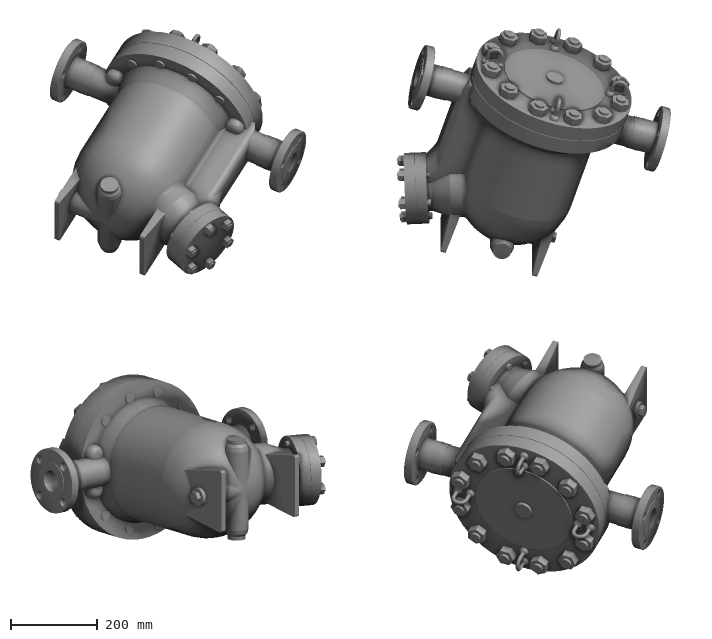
import cadquery as cq
import math


OVERALL_LENGTH_Y = 526.45

BODY_RADIUS = 136.0
NECK_RADIUS = 148.0
NECK_END_Y = -28.7
DOME_CENTRE_Y = -219.0
FLANGE_RADIUS = 375.0 / 2
FLANGE_BACK_Y = 10.2
JOINT_BOTTOM_Y = 45.7
JOINT_TOP_Y = 47.0
JOINT_GROOVE_DEPTH = 4.0
COVER_TOP_Y = 82.3
COVER_PAD_RADIUS = 120.0
COVER_PAD_HEIGHT = 3.0
CENTRE_BOSS_RADIUS = 40.0 / 2
CENTRE_BOSS_HEIGHT = 6.5

STUD_COUNT = 12
STUD_CIRCLE_RADIUS = 160.5
STUD_DIAMETER = 24.0
STUD_TAIL = 4.0
STUD_TOP_Y = 107.0
NUT_ACROSS_FLATS = 38.0
NUT_HEIGHT = 18.5
NUT_CORNER_OFFSET = math.radians(15)
STUD_BOSS_RADIUS = 22.0
STUD_BOSS_END_Y = -14.5
STUD_BOSS_ROUND = 15.0

EYE_POSITION_RADIUS = 150.0
EYE_OUTER_DIAMETER = 40.0
EYE_WIRE_DIAMETER = 9.0
EYE_TOP_Y = 127.25
EYE_WELD_RADIUS = 11.0

INLET_FACE_X = -285.5
OUTLET_FACE_X = 305.5
PIPE_RADIUS = 36.0
PIPE_COLLAR_RADIUS = 75.0 / 2
PIPE_COLLAR_END = 76.5
WELD_BEAD_START = 50.5
WELD_BEAD_END = 58.5
WELD_BEAD_RADIUS = 38.0
PIPE_FLANGE_RADIUS = 152.0 / 2
PIPE_FLANGE_BACK = 21.0
PIPE_ROOT_RADIUS = 3.0
PIPE_FLANGE_CHAMFER = 1.0
RAISED_FACE_RADIUS = 92.1 / 2
RAISED_FACE_HEIGHT = 1.6
PIPE_BORE_RADIUS = 25.0
PIPE_BORE_DEPTH = 140.0
PIPE_BOLT_COUNT = 4
PIPE_BOLT_CIRCLE_RADIUS = 60.3
PIPE_BOLT_HOLE_DIAMETER = 20.0

PASSAGE_HALF_WIDTH = 39.5
PASSAGE_OUTER_X = 204.5
PASSAGE_EDGE_RADIUS = 16.0
PASSAGE_ROOT_RADIUS = 14.5
PASSAGE_SHOULDER_Y = -5.0
PASSAGE_TOP_Y = 36.0
PASSAGE_TOP_X = 190.5
PASSAGE_TOP_BULGE = 3.0
PASSAGE_BOTTOM_Y = -260.0
FAIRING_TOP_Y = -155.0
FAIRING_HOLLOW = 2.0
FAIRING_EDGE_RADIUS = 30.0

NOZZLE_TILT = 20.0
NOZZLE_FLANGE_BACK = (193.2, -283.0)
NOZZLE_FLANGE_RADIUS = 165.0 / 2
NOZZLE_FLANGE_THICKNESS = 25.0
NOZZLE_JOINT_GAP = 0.6
NOZZLE_COVER_THICKNESS = 25.4
NOZZLE_NECK_RADIUS = 54.5
NOZZLE_NECK_LENGTH = 11.0
NOZZLE_COLLAR_RADIUS = 71.0
NOZZLE_COLLAR_END = 54.0
NOZZLE_DEPTH = 160.0
NOZZLE_ROOT_RADIUS = 12.0
NOZZLE_BOLT_COUNT = 6
NOZZLE_BOLT_CIRCLE_RADIUS = 65.0
NOZZLE_BOLT_DIAMETER = 16.0
NOZZLE_BOLT_TAIL = 8.0
NOZZLE_NUT_FLATS = 24.0
NOZZLE_NUT_HEIGHT = 13.0
NOZZLE_BOLT_TIP = 3.0

DRAIN_RADIUS = 28.0
DRAIN_INSET = 0.1
DRAIN_Y = DOME_CENTRE_Y - BODY_RADIUS + DRAIN_RADIUS + DRAIN_INSET
DRAIN_CAP_RADIUS = 21.0
DRAIN_SHOULDER_RADIUS = 25.5
DRAIN_BARREL_END = 93.5
DRAIN_SHOULDER_END = 103.5
DRAIN_TAPER_END = 109.5
DRAIN_CAP_END = 118.5
PLUG_BOSS_END = 108.0
PLUG_RING_END = 118.5
PLUG_HEAD_END = 128.5
PLUG_HEAD_FLATS = 24.0

LEG_CENTRES_X = (-99.8, 121.0)
LEG_BOTTOM_Y = EYE_TOP_Y - OVERALL_LENGTH_Y
LEG_TOP_Y = -273.0
LEG_BOTTOM_HALF_WIDTH = 74.5
LEG_TOP_HALF_WIDTH = 52.7
LEG_BOTTOM_HALF_THICKNESS = 6.0
LEG_TOP_HALF_THICKNESS = 13.3
LEG_CORNER_RADIUS = 6.0

UP = cq.Vector(0, 1, 0)


def rod(radius, start, end):
    """Cylinder between two points."""
    axis = cq.Vector(*end) - cq.Vector(*start)
    return cq.Workplane(cq.Solid.makeCylinder(radius, axis.Length, cq.Vector(*start), axis))


def hexagon(across_flats, origin, corner_direction, axis, height):
    """Hexagonal prism with one corner along corner_direction."""
    across_corners = across_flats / math.cos(math.pi / 6)
    plane = cq.Plane(origin=origin, xDir=corner_direction, normal=axis)
    return cq.Workplane(plane).polygon(6, across_corners).extrude(height)


def make_body():
    dome_bottom_y = DOME_CENTRE_Y - BODY_RADIUS
    diagonal = BODY_RADIUS * math.sqrt(0.5)
    groove_radius = FLANGE_RADIUS - JOINT_GROOVE_DEPTH
    pad_top_y = COVER_TOP_Y + COVER_PAD_HEIGHT
    return (
        cq.Workplane("XY")
        .moveTo(0, dome_bottom_y)
        .threePointArc((diagonal, DOME_CENTRE_Y - diagonal), (BODY_RADIUS, DOME_CENTRE_Y))
        .lineTo(BODY_RADIUS, NECK_END_Y)
        .lineTo(NECK_RADIUS, FLANGE_BACK_Y)
        .lineTo(FLANGE_RADIUS, FLANGE_BACK_Y)
        .lineTo(FLANGE_RADIUS, JOINT_BOTTOM_Y)
        .lineTo(groove_radius, JOINT_BOTTOM_Y)
        .lineTo(groove_radius, JOINT_TOP_Y)
        .lineTo(FLANGE_RADIUS, JOINT_TOP_Y)
        .lineTo(FLANGE_RADIUS, COVER_TOP_Y)
        .lineTo(COVER_PAD_RADIUS, COVER_TOP_Y)
        .lineTo(COVER_PAD_RADIUS, pad_top_y)
        .lineTo(CENTRE_BOSS_RADIUS, pad_top_y)
        .lineTo(CENTRE_BOSS_RADIUS, pad_top_y + CENTRE_BOSS_HEIGHT)
        .lineTo(0, pad_top_y + CENTRE_BOSS_HEIGHT)
        .close()
        .revolve(360, (0, 0, 0), (0, 1, 0))
    )


def stud_places():
    """X and Z of every cover stud; none lies on the X or Z axis."""
    step = 2 * math.pi / STUD_COUNT
    angles = [(index + 0.5) * step for index in range(STUD_COUNT)]
    return [(STUD_CIRCLE_RADIUS * math.cos(a), STUD_CIRCLE_RADIUS * math.sin(a)) for a in angles]


def make_cover_stud(x, z):
    stud = rod(STUD_DIAMETER / 2, (x, FLANGE_BACK_Y - STUD_TAIL, z), (x, STUD_TOP_Y, z))
    corner_angle = math.atan2(z, x) + NUT_CORNER_OFFSET
    corner = (math.cos(corner_angle), 0, math.sin(corner_angle))
    nut = hexagon(NUT_ACROSS_FLATS, (x, COVER_TOP_Y, z), corner, (0, 1, 0), NUT_HEIGHT)
    return stud.union(nut)


def make_stud_boss(x, z):
    """Round-ended boss that carries a stud where the pipe runs below the flange."""
    boss = rod(STUD_BOSS_RADIUS, (x, FLANGE_BACK_Y, z), (x, STUD_BOSS_END_Y, z))
    return boss.faces("<Y").edges().fillet(STUD_BOSS_ROUND)


def make_lifting_eye(direction_x, direction_z):
    """U-shaped eye standing on the cover, lying in the radial plane."""
    wire_radius = EYE_WIRE_DIAMETER / 2
    bend_radius = EYE_OUTER_DIAMETER / 2 - wire_radius
    bend_y = EYE_TOP_Y - EYE_OUTER_DIAMETER / 2
    origin = (EYE_POSITION_RADIUS * direction_x, 0, EYE_POSITION_RADIUS * direction_z)
    radial = cq.Vector(direction_x, 0, direction_z)
    plane = cq.Plane(origin=origin, xDir=radial, normal=radial.cross(UP))
    path = (
        cq.Workplane(plane)
        .moveTo(-bend_radius, COVER_TOP_Y)
        .lineTo(-bend_radius, bend_y)
        .threePointArc((0, bend_y + bend_radius), (bend_radius, bend_y))
        .lineTo(bend_radius, COVER_TOP_Y)
    )
    inner = EYE_POSITION_RADIUS - bend_radius
    outer = EYE_POSITION_RADIUS + bend_radius
    start = (inner * direction_x, COVER_TOP_Y, inner * direction_z)
    section_plane = cq.Plane(origin=start, xDir=radial, normal=UP)
    eye = cq.Workplane(section_plane).circle(wire_radius).sweep(path)
    for distance in (inner, outer):
        foot = cq.Vector(distance * direction_x, COVER_TOP_Y, distance * direction_z)
        eye = eye.union(cq.Workplane(cq.Solid.makeSphere(EYE_WELD_RADIUS, foot, UP, 0, 90, 360)))
    return eye


def make_pipe(face_x):
    """Flanged pipe from its sealing face to the vessel axis."""
    inward = -math.copysign(1, face_x)

    def at(distance):
        return (face_x + inward * distance, 0, 0)

    pipe = rod(PIPE_RADIUS, at(RAISED_FACE_HEIGHT), (0, 0, 0))
    pipe = pipe.union(rod(PIPE_COLLAR_RADIUS, at(RAISED_FACE_HEIGHT), at(PIPE_COLLAR_END)))
    pipe = pipe.union(rod(WELD_BEAD_RADIUS, at(WELD_BEAD_START), at(WELD_BEAD_END)))
    flange = rod(PIPE_FLANGE_RADIUS, at(RAISED_FACE_HEIGHT), at(PIPE_FLANGE_BACK))
    flange = flange.edges().chamfer(PIPE_FLANGE_CHAMFER)
    pipe = pipe.union(flange)
    flange_back = pipe.faces(cq.NearestToPointSelector((at(PIPE_FLANGE_BACK)[0], PIPE_BOLT_CIRCLE_RADIUS, 0)))
    pipe = flange_back.edges(cq.selectors.RadiusNthSelector(0)).fillet(PIPE_ROOT_RADIUS)
    pipe = pipe.union(rod(RAISED_FACE_RADIUS, at(0), at(RAISED_FACE_HEIGHT)))
    for index in range(PIPE_BOLT_COUNT):
        angle = (index + 0.5) * 2 * math.pi / PIPE_BOLT_COUNT
        y = PIPE_BOLT_CIRCLE_RADIUS * math.cos(angle)
        z = PIPE_BOLT_CIRCLE_RADIUS * math.sin(angle)
        hole_end = (at(PIPE_FLANGE_BACK)[0], y, z)
        pipe = pipe.cut(rod(PIPE_BOLT_HOLE_DIAMETER / 2, (face_x, y, z), hole_end))
    return pipe


def make_pipe_bore(face_x):
    bottom_x = face_x - math.copysign(PIPE_BORE_DEPTH, face_x)
    return rod(PIPE_BORE_RADIUS, (face_x, 0, 0), (bottom_x, 0, 0))


def nozzle_point(along, across=0.0, z=0.0):
    """Point measured from the back of the nozzle flange, along and across the tilted axis."""
    tilt = math.radians(NOZZLE_TILT)
    x = NOZZLE_FLANGE_BACK[0] + along * math.cos(tilt) + across * math.sin(tilt)
    y = NOZZLE_FLANGE_BACK[1] - along * math.sin(tilt) + across * math.cos(tilt)
    return (x, y, z)


def make_passage():
    """Box-like rib on the +X side, blended into the body by concave roots."""
    side = PASSAGE_HALF_WIDTH
    root_centre_z = side + PASSAGE_ROOT_RADIUS
    root_centre_distance = BODY_RADIUS + PASSAGE_ROOT_RADIUS
    root_centre_x = math.sqrt(root_centre_distance ** 2 - root_centre_z ** 2)
    touch = BODY_RADIUS / root_centre_distance
    touch_x = root_centre_x * touch
    touch_z = root_centre_z * touch
    root_angle = (math.atan2(root_centre_z, root_centre_x) + math.pi / 2) / 2
    middle_x = root_centre_x - PASSAGE_ROOT_RADIUS * math.cos(root_angle)
    middle_z = root_centre_z - PASSAGE_ROOT_RADIUS * math.sin(root_angle)
    height = PASSAGE_TOP_Y - PASSAGE_BOTTOM_Y
    plan = cq.Workplane(cq.Plane((0, PASSAGE_BOTTOM_Y, 0), (1, 0, 0), (0, 1, 0)))
    rib = (
        plan.moveTo(0, -touch_z)
        .lineTo(touch_x, -touch_z)
        .threePointArc((middle_x, -middle_z), (root_centre_x, -side))
        .lineTo(PASSAGE_OUTER_X, -side)
        .lineTo(PASSAGE_OUTER_X, side)
        .lineTo(root_centre_x, side)
        .threePointArc((middle_x, middle_z), (touch_x, touch_z))
        .lineTo(0, touch_z)
        .close()
        .extrude(height)
        .edges("|Y and >X")
        .fillet(PASSAGE_EDGE_RADIUS)
    )
    bend_x = (PASSAGE_OUTER_X + PASSAGE_TOP_X) / 2 + PASSAGE_TOP_BULGE
    bend_y = (PASSAGE_SHOULDER_Y + PASSAGE_TOP_Y) / 2
    envelope = (
        cq.Workplane("XY")
        .moveTo(0, PASSAGE_BOTTOM_Y)
        .lineTo(PASSAGE_OUTER_X, PASSAGE_BOTTOM_Y)
        .lineTo(PASSAGE_OUTER_X, PASSAGE_SHOULDER_Y)
        .threePointArc((bend_x, bend_y), (PASSAGE_TOP_X, PASSAGE_TOP_Y))
        .lineTo(0, PASSAGE_TOP_Y)
        .close()
        .extrude(BODY_RADIUS, both=True)
    )
    return rib.intersect(envelope)


def make_fairing():
    """Hollow-curved web from the passage wall to the back of the nozzle flange."""
    flange_edge = nozzle_point(0, NOZZLE_FLANGE_RADIUS)[:2]
    bend = (
        (PASSAGE_OUTER_X + flange_edge[0]) / 2 - FAIRING_HOLLOW,
        (FAIRING_TOP_Y + flange_edge[1]) / 2,
    )
    return (
        cq.Workplane("XY")
        .moveTo(BODY_RADIUS, FAIRING_TOP_Y)
        .lineTo(PASSAGE_OUTER_X, FAIRING_TOP_Y)
        .threePointArc(bend, flange_edge)
        .lineTo(*NOZZLE_FLANGE_BACK)
        .lineTo(BODY_RADIUS, NOZZLE_FLANGE_BACK[1])
        .close()
        .extrude(PASSAGE_HALF_WIDTH, both=True)
        .edges("%CIRCLE")
        .fillet(FAIRING_EDGE_RADIUS)
    )


def make_nozzle_neck():
    """Collar and cone between the dome and the nozzle flange."""
    axis = cq.Vector(*nozzle_point(1)) - cq.Vector(*nozzle_point(0))
    return (
        cq.Workplane(cq.Plane(origin=nozzle_point(0), xDir=axis, normal=(0, 0, 1)))
        .moveTo(0, 0)
        .lineTo(0, NOZZLE_NECK_RADIUS)
        .lineTo(-NOZZLE_NECK_LENGTH, NOZZLE_NECK_RADIUS)
        .lineTo(-NOZZLE_COLLAR_END, NOZZLE_COLLAR_RADIUS)
        .lineTo(-NOZZLE_DEPTH, NOZZLE_COLLAR_RADIUS)
        .lineTo(-NOZZLE_DEPTH, 0)
        .close()
        .revolve(360, (0, 0, 0), (1, 0, 0))
    )


def blend_nozzle_root(shell):
    """Fillet the curve where the collar leaves the dome; all other edges are lines or circles."""
    return shell.edges("not(%CIRCLE or %LINE)").fillet(NOZZLE_ROOT_RADIUS)


def make_nozzle_flanges():
    gap_end = NOZZLE_FLANGE_THICKNESS + NOZZLE_JOINT_GAP
    face = gap_end + NOZZLE_COVER_THICKNESS
    axis = cq.Vector(*nozzle_point(1)) - cq.Vector(*nozzle_point(0))
    corner = cq.Vector(*nozzle_point(0, 1)) - cq.Vector(*nozzle_point(0))
    gasket_radius = NOZZLE_FLANGE_RADIUS - JOINT_GROOVE_DEPTH
    flanges = rod(NOZZLE_FLANGE_RADIUS, nozzle_point(0), nozzle_point(NOZZLE_FLANGE_THICKNESS))
    flanges = flanges.union(rod(gasket_radius, nozzle_point(0), nozzle_point(face)))
    flanges = flanges.union(rod(NOZZLE_FLANGE_RADIUS, nozzle_point(gap_end), nozzle_point(face)))
    for index in range(NOZZLE_BOLT_COUNT):
        angle = index * 2 * math.pi / NOZZLE_BOLT_COUNT
        across = NOZZLE_BOLT_CIRCLE_RADIUS * math.sin(angle)
        z = NOZZLE_BOLT_CIRCLE_RADIUS * math.cos(angle)
        bolt_start = nozzle_point(-NOZZLE_BOLT_TAIL, across, z)
        bolt_end = nozzle_point(face + NOZZLE_NUT_HEIGHT + NOZZLE_BOLT_TIP, across, z)
        flanges = flanges.union(rod(NOZZLE_BOLT_DIAMETER / 2, bolt_start, bolt_end))
        nut = hexagon(NOZZLE_NUT_FLATS, nozzle_point(face, across, z), corner, axis, NOZZLE_NUT_HEIGHT)
        flanges = flanges.union(nut)
    return flanges


def make_drain_bosses():
    """Capped drain barrel running in Z across the bottom of the dome."""
    half = (
        cq.Workplane("XZ", origin=(0, DRAIN_Y, 0))
        .moveTo(0, 0)
        .lineTo(DRAIN_RADIUS, 0)
        .lineTo(DRAIN_RADIUS, DRAIN_BARREL_END)
        .lineTo(DRAIN_SHOULDER_RADIUS, DRAIN_SHOULDER_END)
        .lineTo(DRAIN_CAP_RADIUS, DRAIN_TAPER_END)
        .lineTo(DRAIN_CAP_RADIUS, DRAIN_CAP_END)
        .lineTo(0, DRAIN_CAP_END)
        .close()
        .revolve(360, (0, 0, 0), (0, 1, 0))
    )
    return half.union(half.mirror("XY"))


def make_drain_plug():
    """Barrel towards -X with a hexagon-headed plug."""
    boss = rod(DRAIN_RADIUS, (0, DRAIN_Y, 0), (-PLUG_BOSS_END, DRAIN_Y, 0))
    ring = rod(DRAIN_CAP_RADIUS, (0, DRAIN_Y, 0), (-PLUG_RING_END, DRAIN_Y, 0))
    head_height = PLUG_HEAD_END - PLUG_RING_END
    head_origin = (-PLUG_RING_END, DRAIN_Y, 0)
    head = hexagon(PLUG_HEAD_FLATS, head_origin, (0, 1, 0), (-1, 0, 0), head_height)
    return boss.union(ring).union(head)


def make_leg(centre_x):
    """Flared plate that tapers in thickness towards the floor."""
    outline = (
        cq.Workplane("YZ")
        .polyline([
            (LEG_BOTTOM_Y, -LEG_BOTTOM_HALF_WIDTH),
            (LEG_TOP_Y, -LEG_TOP_HALF_WIDTH),
            (LEG_TOP_Y, LEG_TOP_HALF_WIDTH),
            (LEG_BOTTOM_Y, LEG_BOTTOM_HALF_WIDTH),
        ])
        .close()
        .extrude(LEG_TOP_HALF_THICKNESS, both=True)
        .edges("|X and <Y")
        .fillet(LEG_CORNER_RADIUS)
    )
    taper = (
        cq.Workplane("XY")
        .polyline([
            (-LEG_BOTTOM_HALF_THICKNESS, LEG_BOTTOM_Y),
            (-LEG_TOP_HALF_THICKNESS, LEG_TOP_Y),
            (LEG_TOP_HALF_THICKNESS, LEG_TOP_Y),
            (LEG_BOTTOM_HALF_THICKNESS, LEG_BOTTOM_Y),
        ])
        .close()
        .extrude(LEG_BOTTOM_HALF_WIDTH, both=True)
    )
    return outline.intersect(taper).translate((centre_x, 0, 0))


result = blend_nozzle_root(make_body().union(make_nozzle_neck()))
result = result.union(make_passage())
result = result.union(make_fairing())
result = result.union(make_nozzle_flanges())
result = result.union(make_drain_bosses())
result = result.union(make_drain_plug())
for leg_x in LEG_CENTRES_X:
    result = result.union(make_leg(leg_x))
for face in (INLET_FACE_X, OUTLET_FACE_X):
    result = result.union(make_pipe(face))
for stud_x, stud_z in stud_places():
    if abs(stud_z) < PIPE_RADIUS + STUD_BOSS_RADIUS:
        result = result.union(make_stud_boss(stud_x, stud_z))
    result = result.union(make_cover_stud(stud_x, stud_z))
for eye_x, eye_z in ((1, 0), (0, 1), (-1, 0), (0, -1)):
    result = result.union(make_lifting_eye(eye_x, eye_z))
for face in (INLET_FACE_X, OUTLET_FACE_X):
    result = result.cut(make_pipe_bore(face))